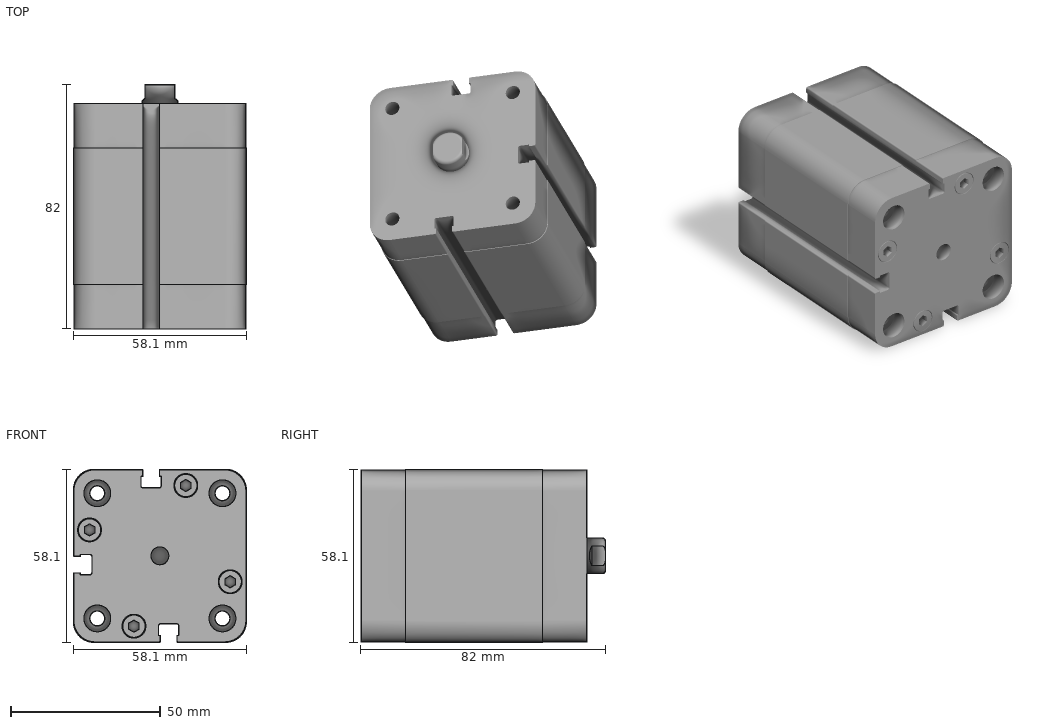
import cadquery as cq
import math

BARREL_WIDTH = 58.1
CAP_INSET = 0.2
CORNER_RADIUS = 7.0
CAP_LENGTH = 14.9
BODY_LENGTH = 75.7
OVERALL_LENGTH = 82.0

SLOT_OFFSET = 2.95
SLOT_MOUTH = 5.5
SLOT_WIDTH = 6.7
SLOT_DEPTH = 6.2
SLOT_LIP = 2.35
SLOT_FLOOR_RADIUS = 0.6
SLOT_EDGE_RADIUS = 0.45
SLOT_ANGLES = (0, 90, 180)

MOUNT_PITCH = 42.0
MOUNT_DIAMETER = 4.92
MOUNT_BORE_DIAMETER = 9.0
MOUNT_BORE_DEPTH = 5.5

SCREW_OFFSET = 8.7
SCREW_RADIAL = 23.6
SCREW_RECESS_DIAMETER = 8.0
SCREW_HEAD_DIAMETER = 7.5
SCREW_RECESS_DEPTH = 0.5
SOCKET_FLATS = 3.5
SOCKET_DEPTH = 2.5
SOCKET_TURN = 30

CENTRE_HOLE_DIAMETER = 6.0
CENTRE_HOLE_DEPTH = 6.0

ROD_DIAMETER = 12.0
ROD_FLATS = 10.0
ROD_TIP_RADIUS = 1.1
FLAT_START = 1.7
FLAT_RUNOUT = 0.85


def plane_at(y):
    """Sketch plane across the body at depth y; its normal is -Y, so a negative extrusion runs along +Y."""
    return cq.Workplane("XZ", origin=(0, y, 0))


def rounded_block(width, radius, y_start, length):
    """Square block with rounded long edges, running from y_start along +Y."""
    return plane_at(y_start).rect(width, width).extrude(-length).edges("|Y").fillet(radius)


def make_body():
    cap_width = BARREL_WIDTH - 2 * CAP_INSET
    core = rounded_block(cap_width, CORNER_RADIUS, 0, BODY_LENGTH)
    barrel = rounded_block(BARREL_WIDTH, CORNER_RADIUS, CAP_LENGTH, BODY_LENGTH - 2 * CAP_LENGTH)
    return core.union(barrel)


def slot_mouth(face_height, y_start, length):
    """Slot mouth whose side walls flare out in quarter rounds to meet a face at face_height."""
    half = SLOT_MOUTH / 2
    r = SLOT_EDGE_RADIUS
    bend = r * (1 - math.sqrt(0.5))
    lip = BARREL_WIDTH / 2 - SLOT_LIP
    return (
        plane_at(y_start)
        .moveTo(-half, lip)
        .lineTo(half, lip)
        .lineTo(half, face_height - r)
        .threePointArc((half + bend, face_height - bend), (half + r, face_height))
        .lineTo(half + r, BARREL_WIDTH)
        .lineTo(-half - r, BARREL_WIDTH)
        .lineTo(-half - r, face_height)
        .threePointArc((-half - bend, face_height - bend), (-half, face_height - r))
        .close()
        .extrude(-length)
    )


def make_slot():
    """Cutter for the T-shaped slot in the top face, over the whole body length."""
    barrel_face = BARREL_WIDTH / 2
    cap_face = barrel_face - CAP_INSET
    floor = barrel_face - SLOT_DEPTH
    chamber_height = SLOT_DEPTH - SLOT_LIP
    chamber = (
        plane_at(0)
        .center(0, floor + chamber_height / 2)
        .rect(SLOT_WIDTH, chamber_height)
        .extrude(-BODY_LENGTH)
        .edges("|Y and <Z")
        .fillet(SLOT_FLOOR_RADIUS)
    )
    slot = chamber.union(slot_mouth(barrel_face, CAP_LENGTH, BODY_LENGTH - 2 * CAP_LENGTH))
    for y_start in (0, BODY_LENGTH - CAP_LENGTH):
        slot = slot.union(slot_mouth(cap_face, y_start, CAP_LENGTH))
    return slot.translate((-SLOT_OFFSET, 0, 0))


def about_axis(shape, angle):
    """Turn a shape about the body axis, from the top face towards the left face."""
    return shape.rotate((0, 0, 0), (0, 1, 0), -angle)


def cut_slots(body):
    slot = make_slot()
    for angle in SLOT_ANGLES:
        body = body.cut(about_axis(slot, angle))
    return body


def cut_mounting_holes(body):
    def corner_cylinders(diameter, depth):
        corners = plane_at(0).rect(MOUNT_PITCH, MOUNT_PITCH, forConstruction=True).vertices()
        return corners.circle(diameter / 2).extrude(-depth)

    body = body.cut(corner_cylinders(MOUNT_DIAMETER, BODY_LENGTH))
    return body.cut(corner_cylinders(MOUNT_BORE_DIAMETER, MOUNT_BORE_DEPTH))


def cut_screws(body):
    """Flush cap screws: a ring gap round each head and a hexagon socket in it."""
    start = plane_at(0).center(SCREW_OFFSET, SCREW_RADIAL)
    ring = (
        start
        .circle(SCREW_RECESS_DIAMETER / 2)
        .circle(SCREW_HEAD_DIAMETER / 2)
        .extrude(-SCREW_RECESS_DEPTH)
    )
    socket_corners = SOCKET_FLATS / math.cos(math.pi / 6)
    socket = (
        plane_at(0)
        .polygon(6, socket_corners)
        .extrude(-SOCKET_DEPTH)
        .rotate((0, 0, 0), (0, 1, 0), SOCKET_TURN)
    )
    for angle in (0, 90, 180, 270):
        turn = math.radians(angle)
        x = SCREW_OFFSET * math.cos(turn) - SCREW_RADIAL * math.sin(turn)
        z = SCREW_OFFSET * math.sin(turn) + SCREW_RADIAL * math.cos(turn)
        body = body.cut(about_axis(ring, angle)).cut(socket.translate((x, 0, z)))
    return body


def cut_centre_hole(body):
    return body.cut(plane_at(0).circle(CENTRE_HOLE_DIAMETER / 2).extrude(-CENTRE_HOLE_DEPTH))


def make_rod():
    """Rod end with a rounded tip and two wrench flats that slope out to the rod surface."""
    radius = ROD_DIAMETER / 2
    rod = plane_at(BODY_LENGTH).circle(radius).extrude(BODY_LENGTH - OVERALL_LENGTH)
    rod = rod.faces(">Y").edges().fillet(ROD_TIP_RADIUS)
    half_flats = ROD_FLATS / 2
    flat_y = BODY_LENGTH + FLAT_START
    flat_cut = (
        cq.Workplane("XY")
        .moveTo(half_flats, OVERALL_LENGTH)
        .lineTo(half_flats, flat_y)
        .lineTo(radius, flat_y - FLAT_RUNOUT)
        .lineTo(radius, OVERALL_LENGTH)
        .close()
        .extrude(radius, both=True)
    )
    return rod.cut(flat_cut).cut(flat_cut.mirror("YZ"))


body = make_body()
body = cut_slots(body)
body = cut_mounting_holes(body)
body = cut_screws(body)
body = cut_centre_hole(body)
result = body.union(make_rod())